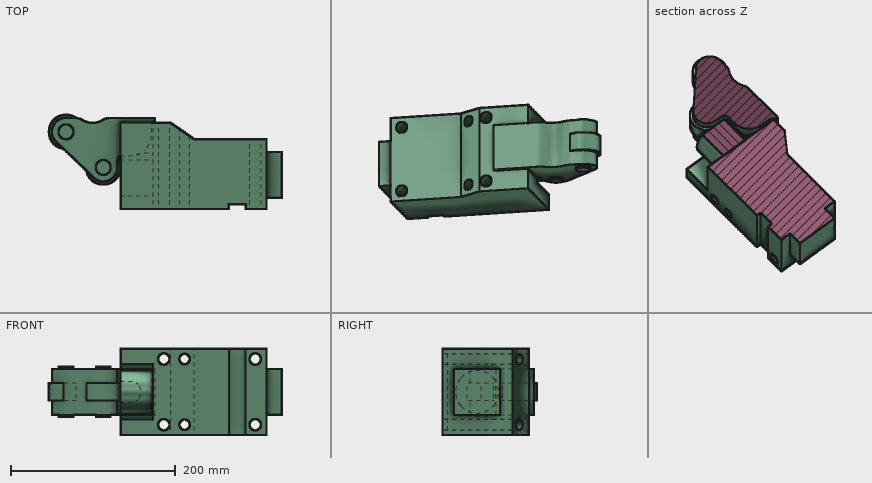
import cadquery as cq
import math


HOUSING_LENGTH = 177.0
HOUSING_HEIGHT = 105.0
HOUSING_DEPTH = 105.0
REAR_DEPTH = 85.2
RAMP_START_X = 60.5
RAMP_END_X = 89.0

KEYWAY_X = 131.3
KEYWAY_WIDTH = 20.5
KEYWAY_DEPTH = 6.0

CONNECTOR_LENGTH = 18.5
CONNECTOR_SIDE = 55.7
CONNECTOR_Y = 14.0

POCKET_LENGTH = 39.3
POCKET_DEPTH = 59.7
POCKET_HEIGHT = 67.5

HOLE_ROW_SPACING = 79.8
BOLT_HOLE_DIAMETER = 13.5
BOLT_HOLE_XS = (52.3, 163.3)
DOWEL_HOLE_DIAMETER = 12.5
DOWEL_HOLE_XS = (77.5,)

PISTON_RADIUS = 26.0
PISTON_Y = 42.2

ARM_WIDTH = 55.7
ARM_END_RADIUS = 17.0
UPPER_ROLLER = (-66.5, 94.0)
LOWER_ROLLER = (-21.2, 50.6)
ROLLER_RADIUS = 21.0
ROLLER_WIDTH = 21.5
PIN_RADIUS = 9.0
PIN_LENGTH = 61.0
UNDERSIDE_Y = 64.8
FILLET_RADIUS = 5.7
HEEL_RADIUS = 25.2
HEEL_START_X = 12.0
TIP_X = 42.0
TIP_RADIUS = 2.0
TIP_RAMP_ANGLE = 45
DIP_X = -34.2
DIP_DEPTH = 6.0
DIP_RADIUS = 24.0
DIP_BLEND_RADIUS = 17.0

ARM_TOP_Y = UPPER_ROLLER[1] + ARM_END_RADIUS
HEEL_END_X = HEEL_START_X + HEEL_RADIUS


def on_circle(center, radius, degrees):
    """Point on a circle in XY, with the angle measured from +X towards +Y."""
    angle = math.radians(degrees)
    return (center[0] + radius * math.cos(angle), center[1] + radius * math.sin(angle))


def line_and_arc(outline, center, radius, start, end):
    """Extend an outline by a line to the start of an arc, then by the arc itself."""
    arc_start = on_circle(center, radius, start)
    if math.dist(outline.val().endPoint().toTuple()[:2], arc_start) > 2.83e-06:
        outline = outline.lineTo(*arc_start)
    middle = on_circle(center, radius, (start + end) / 2)
    return outline.threePointArc(middle, on_circle(center, radius, end))


def front_box(length, depth, height):
    """Box from X = 0 and Y = 0, centred on Z = 0."""
    return cq.Workplane("XY").box(length, depth, height, centered=(False, False, True))


def cylinder_z(center, radius, length):
    """Cylinder along Z, centred on Z = 0."""
    return cq.Workplane("XY").center(*center).circle(radius).extrude(length / 2, both=True)


def arm_plate():
    """Lever plate, its outline traced anticlockwise from the lower roller end."""
    flank_x = LOWER_ROLLER[0] - UPPER_ROLLER[0]
    flank_y = LOWER_ROLLER[1] - UPPER_ROLLER[1]
    flank_normal = math.degrees(math.atan2(flank_y, flank_x)) - 90

    neck_center = (LOWER_ROLLER[0] + ARM_END_RADIUS + FILLET_RADIUS, UNDERSIDE_Y - FILLET_RADIUS)

    heel_center = (HEEL_START_X, UNDERSIDE_Y + HEEL_RADIUS)

    tip_center = (TIP_X - TIP_RADIUS, ARM_TOP_Y - TIP_RADIUS)
    tip_start = on_circle(tip_center, TIP_RADIUS, -TIP_RAMP_ANGLE)
    hook_x = HEEL_END_X + FILLET_RADIUS
    ramp_normal = 180 - TIP_RAMP_ANGLE
    ramp_x, fillet_rise = on_circle((hook_x, 0), FILLET_RADIUS, ramp_normal)
    ramp_y = tip_start[1] - (tip_start[0] - ramp_x) * math.tan(math.radians(TIP_RAMP_ANGLE))
    hook_center = (hook_x, ramp_y - fillet_rise)

    dip_center = (DIP_X, ARM_TOP_Y - DIP_DEPTH + DIP_RADIUS)
    blend_y = ARM_TOP_Y - DIP_BLEND_RADIUS
    blend_rise = dip_center[1] - blend_y
    blend_run = math.sqrt((DIP_RADIUS + DIP_BLEND_RADIUS) ** 2 - blend_rise**2)
    blend_angle = math.degrees(math.atan2(blend_rise, blend_run))
    right_blend = (DIP_X + blend_run, blend_y)
    left_blend = (DIP_X - blend_run, blend_y)

    arcs = [
        (neck_center, FILLET_RADIUS, 180, 90),
        (heel_center, HEEL_RADIUS, -90, 0),
        (hook_center, FILLET_RADIUS, 180, ramp_normal),
        (tip_center, TIP_RADIUS, -TIP_RAMP_ANGLE, 90),
        (right_blend, DIP_BLEND_RADIUS, 90, 180 - blend_angle),
        (dip_center, DIP_RADIUS, -blend_angle, blend_angle - 180),
        (left_blend, DIP_BLEND_RADIUS, blend_angle, 90),
        (UPPER_ROLLER, ARM_END_RADIUS, 90, 360 + flank_normal),
    ]
    outline = (
        cq.Workplane("XY", origin=(0, 0, -ARM_WIDTH / 2))
        .moveTo(*on_circle(LOWER_ROLLER, ARM_END_RADIUS, flank_normal))
        .threePointArc(
            on_circle(LOWER_ROLLER, ARM_END_RADIUS, flank_normal / 2),
            on_circle(LOWER_ROLLER, ARM_END_RADIUS, 0),
        )
    )
    for arc in arcs:
        outline = line_and_arc(outline, *arc)
    return outline.close().extrude(ARM_WIDTH)


def make_arm():
    """Lever with its two rollers and roller pins."""
    arm = arm_plate()
    for center in (UPPER_ROLLER, LOWER_ROLLER):
        arm = arm.union(cylinder_z(center, ROLLER_RADIUS, ROLLER_WIDTH))
        arm = arm.union(cylinder_z(center, PIN_RADIUS, PIN_LENGTH))
    return arm


def make_piston(arm):
    """Round piston filling the pocket length, relieved where the arm rests on it."""
    piston = cq.Workplane("YZ").center(PISTON_Y, 0).circle(PISTON_RADIUS).extrude(POCKET_LENGTH)
    return piston.cut(arm)


def housing_block():
    outline = [
        (0, 0),
        (HOUSING_LENGTH, 0),
        (HOUSING_LENGTH, REAR_DEPTH),
        (RAMP_END_X, REAR_DEPTH),
        (RAMP_START_X, HOUSING_DEPTH),
        (0, HOUSING_DEPTH),
    ]
    block = cq.Workplane("XY").polyline(outline).close()
    return block.extrude(HOUSING_HEIGHT / 2, both=True)


def mounting_holes(diameter, hole_xs):
    """Through holes along Y, one in each row at every given X."""
    points = [(x, side * HOLE_ROW_SPACING / 2) for x in hole_xs for side in (-1, 1)]
    return cq.Workplane("XZ").pushPoints(points).circle(diameter / 2).extrude(-HOUSING_DEPTH)


def make_housing():
    """Block with connector, keyway, piston pocket, arm slot and mounting holes."""
    connector = front_box(CONNECTOR_LENGTH, CONNECTOR_SIDE, CONNECTOR_SIDE)
    keyway = front_box(KEYWAY_WIDTH, KEYWAY_DEPTH, HOUSING_HEIGHT)
    pocket = front_box(POCKET_LENGTH, POCKET_DEPTH, POCKET_HEIGHT)
    arm_slot = front_box(POCKET_LENGTH, HOUSING_DEPTH, ARM_WIDTH)
    return (
        housing_block()
        .union(connector.translate((HOUSING_LENGTH, CONNECTOR_Y, 0)))
        .cut(keyway.translate((KEYWAY_X, 0, 0)))
        .cut(pocket)
        .cut(arm_slot)
        .cut(mounting_holes(BOLT_HOLE_DIAMETER, BOLT_HOLE_XS))
        .cut(mounting_holes(DOWEL_HOLE_DIAMETER, DOWEL_HOLE_XS))
    )


arm = make_arm()
piston = make_piston(arm)
housing = make_housing()

result = cq.Compound.makeCompound([housing.val(), piston.val(), arm.val()])